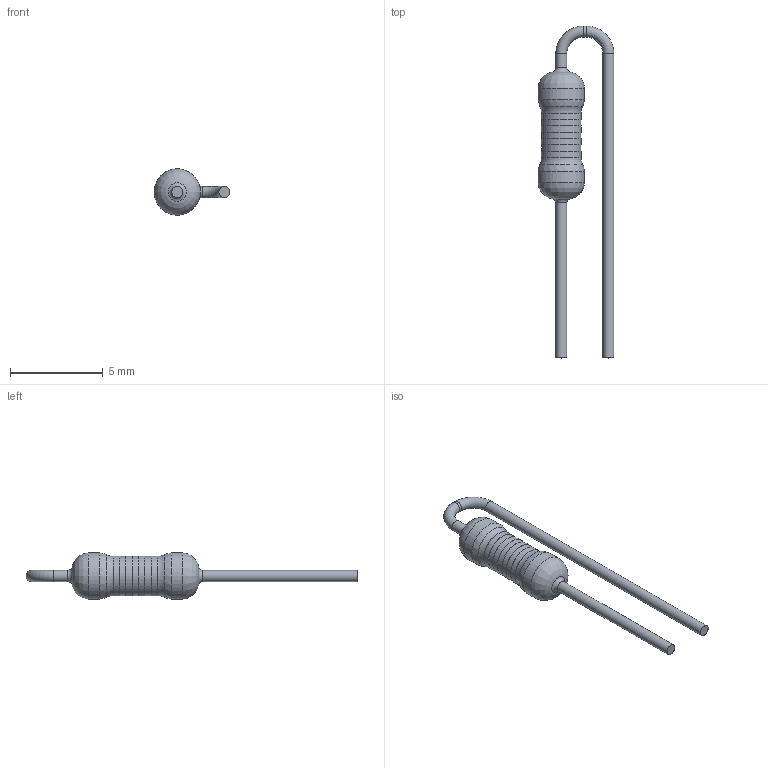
import cadquery as cq
import math


lead_diameter = 0.6
lead_pitch = 2.54
bend_radius = 1.2
overall_length = 17.9
lead_radius = lead_diameter / 2
crown_y = overall_length - lead_radius
bend_start_y = crown_y - bend_radius

body_center_y = 12.0
cap_radius = 2.5 / 2
waist_radius = 2.12 / 2
dome_half_length = 2.54
cap_inner_half_length = 1.94
waist_half_length = 1.19
dome_radius = 0.88
neck_fillet_radius = 0.23

dome_center_x = cap_radius - dome_radius
fillet_center_x = lead_radius + neck_fillet_radius
center_distance = dome_radius + neck_fillet_radius
center_rise = math.sqrt(center_distance**2 - (fillet_center_x - dome_center_x) ** 2)
collar_half_length = dome_half_length + center_rise
tangency_fraction = dome_radius / center_distance
neck_radius = dome_center_x + (fillet_center_x - dome_center_x) * tangency_fraction
neck_half_length = dome_half_length + center_rise * tangency_fraction

band_radius = 2.15 / 2
band_count = 4
band_gap_count = band_count - 1
band_width = 2 * waist_half_length / (band_count + band_gap_count)
band_pitch = 2 * band_width


def make_lead():
    """Round wire swept down the body axis, over the bend and back along the return lead."""
    half_bend_angle = math.radians(45)
    arc_offset = bend_radius * (1 - math.cos(half_bend_angle))
    arc_rise = bend_radius * math.sin(half_bend_angle)
    path = (
        cq.Workplane("XY")
        .lineTo(0, bend_start_y)
        .threePointArc((arc_offset, bend_start_y + arc_rise), (bend_radius, crown_y))
        .lineTo(lead_pitch - bend_radius, crown_y)
        .threePointArc(
            (lead_pitch - arc_offset, bend_start_y + arc_rise),
            (lead_pitch, bend_start_y),
        )
        .lineTo(lead_pitch, 0)
    )
    return cq.Workplane("XZ").circle(lead_radius).sweep(path)


def make_half_body():
    """Revolved half of the body, from its middle out to the collar on the lead."""
    shoulder_half_length = (waist_half_length + cap_inner_half_length) / 2
    shoulder_radius = (waist_radius + cap_radius) / 2
    profile = (
        cq.Workplane("XY")
        .lineTo(waist_radius, 0)
        .lineTo(waist_radius, waist_half_length)
        .tangentArcPoint((shoulder_radius, shoulder_half_length), relative=False)
        .tangentArcPoint((cap_radius, cap_inner_half_length), relative=False)
        .lineTo(cap_radius, dome_half_length)
        .tangentArcPoint((neck_radius, neck_half_length), relative=False)
        .tangentArcPoint((lead_radius, collar_half_length), relative=False)
        .lineTo(0, collar_half_length)
        .close()
    )
    return profile.revolve(360, (0, 0), (0, 1))


def make_band(start):
    """Raised colour band around the waist, beginning at the given distance from the middle."""
    return (
        cq.Workplane("XZ", origin=(0, start, 0))
        .circle(band_radius)
        .extrude(-band_width)
    )


def make_body():
    """Both halves joined, with the evenly spaced bands around the waist."""
    half = make_half_body()
    body = half.union(half.mirror("XZ"))
    for index in range(band_count):
        body = body.union(make_band(-waist_half_length + index * band_pitch))
    return body.translate((0, body_center_y, 0))


result = make_lead().union(make_body())